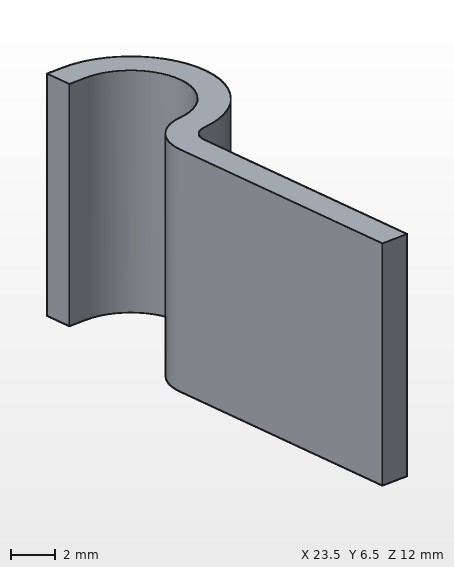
import cadquery as cq
import math

thickness = 1.5
width = 12.0
hook_inner_radius = 3.0
bend_inner_radius = 1.0
lip_length = 1.0
overall_length = 23.5
overall_depth = 6.5

hook_outer_radius = hook_inner_radius + thickness
bend_outer_radius = bend_inner_radius + thickness
plate_end_x = overall_length - hook_outer_radius
plate_front_y = hook_outer_radius - overall_depth
plate_back_y = plate_front_y + thickness

bend_center_y = plate_back_y + bend_inner_radius
center_distance = hook_outer_radius + bend_inner_radius
joint_angle = math.asin(bend_center_y / center_distance)
bend_center_x = center_distance * math.cos(joint_angle)

bend_start_angle = math.pi + joint_angle
bend_end_angle = 1.5 * math.pi
bend_middle_angle = (bend_start_angle + bend_end_angle) / 2


def hook_point(radius, angle):
    """Point on a circle around the hook centre."""
    return (radius * math.cos(angle), radius * math.sin(angle))


def bend_point(radius, angle):
    """Point on a circle around the bend centre."""
    return (
        bend_center_x + radius * math.cos(angle),
        bend_center_y + radius * math.sin(angle),
    )


def strip_profile():
    """Closed outline of the bent strip in the XY plane."""
    return (
        cq.Workplane("XY")
        .moveTo(-hook_outer_radius, -lip_length)
        .lineTo(-hook_outer_radius, 0)
        .threePointArc((0, hook_outer_radius), hook_point(hook_outer_radius, joint_angle))
        .threePointArc(
            bend_point(bend_inner_radius, bend_middle_angle),
            (bend_center_x, plate_back_y),
        )
        .lineTo(plate_end_x, plate_back_y)
        .lineTo(plate_end_x, plate_front_y)
        .lineTo(bend_center_x, plate_front_y)
        .threePointArc(
            bend_point(bend_outer_radius, bend_middle_angle),
            hook_point(hook_inner_radius, joint_angle),
        )
        .threePointArc((0, hook_inner_radius), (-hook_inner_radius, 0))
        .lineTo(-hook_inner_radius, -lip_length)
        .close()
    )


result = strip_profile().extrude(width)